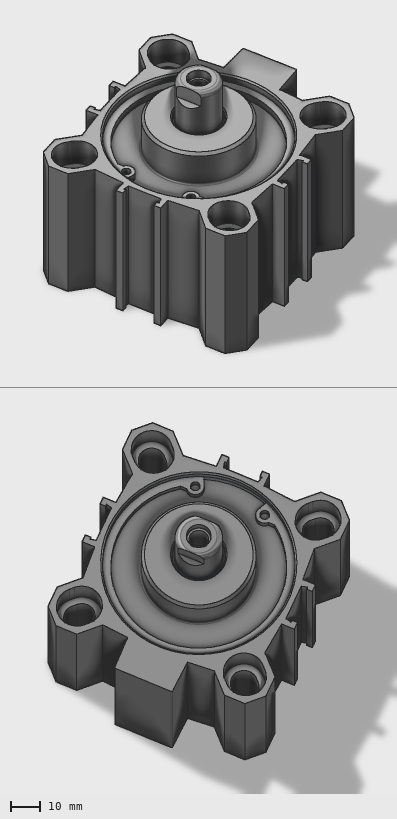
import cadquery as cq
import math


housing_height = 51.95
cover_top = 60.0
rod_top = 77.0
ring_top = housing_height - 2.9
ring_thickness = 2.6
ring_bottom = ring_top - ring_thickness
plate_thickness = 15.5
plate_bottom = ring_bottom - plate_thickness

half_width = 40.0
corner_outer = 34.7
corner_inner = 27.1
wall_edge = 33.4
wall_edge_along = wall_edge - (half_width - corner_inner)
wall_mid = 34.3

rail_outer = 39.0
rail_half_span = 8.8
rail_floor = 34.8
hook_bottom = 36.9
rail_root_overlap = 0.9
hook_half_gap = 6.1
groove_half_outer = 6.9
groove_half_inner = 6.4

block_top = 46.0
block_half_top = 10.6
block_half_base = 11.0
block_edge_radius = 0.4

hole_place = 30.4
hole_stretch = 1.7
hole_diameter = 9.0
counterbore_diameter = 13.8
counterbore_depth = 10.1

bore_diameter = 64.7
bore_chamfer = 0.6
ring_groove_diameter = 68.2

boss_diameter = 38.5
boss_chamfer = 1.0
boss_root_radius = 0.7
wiper_mouth_diameter = 18.9
wiper_wall_diameter = 18.0
wiper_lip_base_diameter = 17.7
wiper_lip_diameter = 16.5
wiper_groove_depth = 2.15
wiper_lip_drop = 1.0

ring_inner_diameter = 59.0
lug_x = 12.7
lug_y = -25.9
lug_radius = 3.0
lug_hole_diameter = 3.2
lug_shoulder_y = -23.9

rod_diameter = 16.0
rod_top_radius = 1.9
flat_half_width = 6.45
flat_bottom = 71.4
rod_recess_diameter = 8.25
rod_recess_depth = 3.3
rod_bore_diameter = 6.6
rod_bore_depth = 17.2
bore_cone_tip_diameter = 2.4
bore_tip_depth = 0.2
bore_cone_slope = 31


def revolved(profile):
    """Turn a closed (radius, Z) profile about the cylinder axis."""
    return cq.Workplane("XZ").polyline(profile).close().revolve(360, (0, 0, 0), (0, 1, 0))


def plain_side():
    """Quarter of the outline, on the +Y side, from the right corner to the left one."""
    return [
        (corner_outer, half_width),
        (corner_inner, half_width),
        (wall_edge_along, wall_edge),
        (rail_half_span, wall_mid),
        (-rail_half_span, wall_mid),
        (-wall_edge_along, wall_edge),
        (-corner_inner, half_width),
        (-corner_outer, half_width),
    ]


def turned(points, quarter_turns):
    """Turn points about the axis by whole quarter turns."""
    for _ in range(quarter_turns):
        points = [(-y, x) for x, y in points]
    return points


def rail_pair():
    """Two hooked rails and the raised floor between them, on the +Y side."""
    half = [
        (rail_half_span, rail_outer),
        (hook_half_gap, rail_outer),
        (hook_half_gap, hook_bottom),
        (groove_half_outer, hook_bottom),
        (groove_half_inner, rail_floor),
    ]
    mirrored = [(-x, y) for x, y in reversed(half)]
    root = wall_edge - rail_root_overlap
    points = [(rail_half_span, root)] + half + mirrored + [(-rail_half_span, root)]
    return cq.Workplane("XY").polyline(points).close().extrude(housing_height)


def port_block():
    points = [
        (block_half_base, wall_edge),
        (block_half_top, block_top),
        (-block_half_top, block_top),
        (-block_half_base, wall_edge),
    ]
    block = cq.Workplane("XY").polyline(points).close().extrude(housing_height)
    return block.edges("|Z and >Y").fillet(block_edge_radius)


def corner_slots(bottom, depth, diameter):
    """One diagonal slot cutter in each of the four corners."""
    cutters = cq.Workplane("XY", origin=(0, 0, bottom))
    for side in (1, -1):
        opposite_corners = [(hole_place, side * hole_place), (-hole_place, -side * hole_place)]
        cutters = cutters.pushPoints(opposite_corners)
        cutters = cutters.slot2D(diameter + hole_stretch, diameter, side * 45).extrude(depth)
    return cutters


def make_housing():
    outline = []
    for quarter_turns in range(4):
        outline += turned(plain_side(), quarter_turns)
    housing = cq.Workplane("XY").polyline(outline).close().extrude(housing_height)
    housing = housing.union(port_block())
    for angle in (90, 180, 270):
        housing = housing.union(rail_pair().rotate((0, 0, 0), (0, 0, 1), angle))

    housing = housing.cut(corner_slots(0, housing_height, hole_diameter))
    counterbore_floor = housing_height - counterbore_depth
    housing = housing.cut(corner_slots(counterbore_floor, counterbore_depth, counterbore_diameter))

    bore_radius = bore_diameter / 2
    groove_radius = ring_groove_diameter / 2
    cavity = [
        (0, plate_bottom),
        (bore_radius, plate_bottom),
        (bore_radius, ring_bottom),
        (groove_radius, ring_bottom),
        (groove_radius, ring_top),
        (bore_radius, ring_top),
        (bore_radius, housing_height - bore_chamfer),
        (bore_radius + bore_chamfer, housing_height),
        (0, housing_height),
    ]
    return housing.cut(revolved(cavity))


def make_cover():
    plate_radius = bore_diameter / 2
    boss_radius = boss_diameter / 2
    root = boss_root_radius
    mouth_chamfer = (wiper_mouth_diameter - wiper_wall_diameter) / 2
    groove_floor = cover_top - wiper_groove_depth
    fillet_middle = root * (1 - math.sqrt(0.5))
    profile = (
        cq.Workplane("XZ")
        .moveTo(rod_diameter / 2, plate_bottom)
        .lineTo(plate_radius, plate_bottom)
        .lineTo(plate_radius, ring_bottom)
        .lineTo(boss_radius + root, ring_bottom)
        .threePointArc(
            (boss_radius + fillet_middle, ring_bottom + fillet_middle),
            (boss_radius, ring_bottom + root),
        )
        .lineTo(boss_radius, cover_top - boss_chamfer)
        .lineTo(boss_radius - boss_chamfer, cover_top)
        .lineTo(wiper_mouth_diameter / 2, cover_top)
        .lineTo(wiper_wall_diameter / 2, cover_top - mouth_chamfer)
        .lineTo(wiper_wall_diameter / 2, groove_floor)
        .lineTo(wiper_lip_base_diameter / 2, groove_floor)
        .lineTo(wiper_lip_diameter / 2, cover_top - wiper_lip_drop)
        .lineTo(rod_diameter / 2, cover_top - wiper_lip_drop)
        .close()
    )
    return profile.revolve(360, (0, 0, 0), (0, 1, 0))


def make_retaining_ring():
    outer_radius = ring_groove_diameter / 2
    inner_radius = ring_inner_diameter / 2
    base = cq.Workplane("XY", origin=(0, 0, ring_bottom))
    ring = base.circle(outer_radius).circle(inner_radius).extrude(ring_thickness)

    lug_angle = math.atan2(lug_x, -lug_y)
    gap_apex_y = -lug_radius / math.sin(lug_angle)
    gap_reach = ring_groove_diameter
    gap_x = gap_reach * math.sin(lug_angle)
    gap_y = gap_apex_y - gap_reach * math.cos(lug_angle)
    gap = base.polyline([(0, gap_apex_y), (gap_x, gap_y), (-gap_x, gap_y)]).close().extrude(ring_thickness)
    ring = ring.cut(gap)

    shoulder_x = math.sqrt(inner_radius**2 - lug_shoulder_y**2)
    lug_places = [(-lug_x, lug_y), (lug_x, lug_y)]
    ring = ring.union(base.pushPoints(lug_places).circle(lug_radius).extrude(ring_thickness))
    for side in (-1, 1):
        shoulder = [
            (side * shoulder_x, lug_shoulder_y),
            (side * lug_x, lug_shoulder_y),
            (side * lug_x, lug_y - lug_radius),
            (side * shoulder_x, lug_y),
        ]
        ring = ring.union(base.polyline(shoulder).close().extrude(ring_thickness))
    return ring.cut(base.pushPoints(lug_places).circle(lug_hole_diameter / 2).extrude(ring_thickness))


def make_rod():
    rod = cq.Workplane("XY", origin=(0, 0, plate_bottom)).circle(rod_diameter / 2)
    rod = rod.extrude(rod_top - plate_bottom).faces(">Z").edges().fillet(rod_top_radius)

    clearance = rod_diameter / 2
    for side in (-1, 1):
        flat = [
            (side * flat_half_width, rod_top),
            (side * flat_half_width, flat_bottom),
            (side * (flat_half_width + clearance), flat_bottom - clearance),
            (side * (flat_half_width + clearance), rod_top),
        ]
        rod = rod.cut(cq.Workplane("YZ").polyline(flat).close().extrude(clearance, both=True))

    recess_radius = rod_recess_diameter / 2
    bore_radius = rod_bore_diameter / 2
    tip_radius = bore_cone_tip_diameter / 2
    recess_floor = rod_top - rod_recess_depth
    cone_top = rod_top - rod_bore_depth
    cone_drop = (bore_radius - tip_radius) * math.tan(math.radians(bore_cone_slope))
    cone_bottom = cone_top - cone_drop
    hole = [
        (0, rod_top),
        (recess_radius, rod_top),
        (recess_radius, recess_floor),
        (bore_radius, recess_floor),
        (bore_radius, cone_top),
        (tip_radius, cone_bottom),
        (0, cone_bottom - bore_tip_depth),
    ]
    return rod.cut(revolved(hole))


housing = make_housing()
cover = make_cover()
retaining_ring = make_retaining_ring()
rod = make_rod()

result = cq.Compound.makeCompound([housing.val(), cover.val(), retaining_ring.val(), rod.val()])